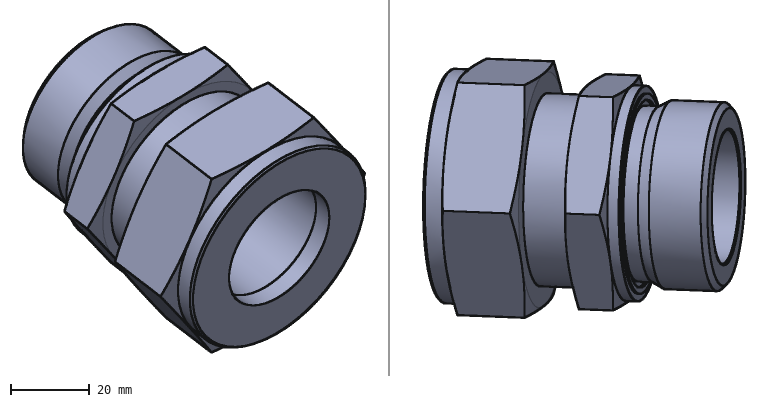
import cadquery as cq
import math


total_length = 72.4
thread_end = 14.9
groove_start = 18.1
seal_edge = 21.5
flange_face = 21.95
recess_floor = 22.15
housing_hex_start = 24.9
housing_hex_end = 36.0
nut_start = 47.4
nut_hex_end = 67.3

bore_radius = 17.0
thread_radius = 24.05
groove_radius = 22.4
recess_radius = 23.9
seal_radius = 25.5
flange_radius = 27.45
neck_radius = 24.55
nut_collar_radius = 29.8

housing_hex_width = 55.0
nut_hex_width = 60.0
hex_chamfer_angle = 15.0
hex_half_sector = 30.0

thread_chamfer = 1.45
bore_chamfer = 0.35
flange_chamfer = 0.1
nut_collar_chamfer = 0.6


def cylinder(radius, start, end):
    """Solid cylinder about the X axis between two stations."""
    return cq.Workplane("YZ", origin=(start, 0, 0)).circle(radius).extrude(end - start)


def turned(profile):
    """Solid of revolution about X from a list of (x, radius) points."""
    return cq.Workplane("XY").polyline(profile).close().revolve(360, (0, 0, 0), (1, 0, 0))


def chamfered_hexagon(width, start, end):
    """Hexagonal prism along X whose corners are turned to a cone at both ends."""
    flat_radius = width / 2
    corner_radius = flat_radius / math.cos(math.radians(hex_half_sector))
    chamfer_depth = (corner_radius - flat_radius) * math.tan(math.radians(hex_chamfer_angle))
    prism = (
        cq.Workplane("YZ", origin=(start, 0, 0))
        .polygon(6, 2 * corner_radius)
        .extrude(end - start)
    )
    envelope = turned([
        (start, 0),
        (start, flat_radius),
        (start + chamfer_depth, corner_radius),
        (end - chamfer_depth, corner_radius),
        (end, flat_radius),
        (end, 0),
    ])
    return prism.intersect(envelope)


def make_housing():
    """Threaded end, raised sealing ring, flange, hexagon and neck with a through bore."""
    threaded_end = turned([
        (0, 0),
        (0, thread_radius - thread_chamfer),
        (thread_chamfer, thread_radius),
        (thread_end, thread_radius),
        (groove_start, groove_radius),
        (recess_floor, groove_radius),
        (recess_floor, recess_radius),
        (seal_edge, recess_radius),
        (seal_edge, seal_radius),
        (flange_face, seal_radius),
        (flange_face, flange_radius - flange_chamfer),
        (flange_face + flange_chamfer, flange_radius),
        (housing_hex_start, flange_radius),
        (housing_hex_start, 0),
    ])
    hexagon = chamfered_hexagon(housing_hex_width, housing_hex_start, housing_hex_end)
    neck = cylinder(neck_radius, housing_hex_end, nut_hex_end)
    bore = turned([
        (0, 0),
        (0, bore_radius + bore_chamfer),
        (bore_chamfer, bore_radius),
        (nut_hex_end, bore_radius),
        (nut_hex_end, 0),
    ])
    return threaded_end.union(hexagon).union(neck).cut(bore)


def make_nut():
    """Hexagon and end collar, recessed for the neck, with a lip over the end of the neck."""
    hexagon = chamfered_hexagon(nut_hex_width, nut_start, nut_hex_end)
    collar = cylinder(nut_collar_radius, nut_hex_end, total_length)
    collar = collar.faces(">X").chamfer(nut_collar_chamfer)
    neck_recess = cylinder(neck_radius, nut_start, nut_hex_end)
    lip_bore = cylinder(bore_radius, nut_hex_end, total_length)
    return hexagon.union(collar).cut(neck_recess).cut(lip_bore)


housing = make_housing()
nut = make_nut()

result = cq.Compound.makeCompound([*housing.solids().vals(), *nut.solids().vals()])